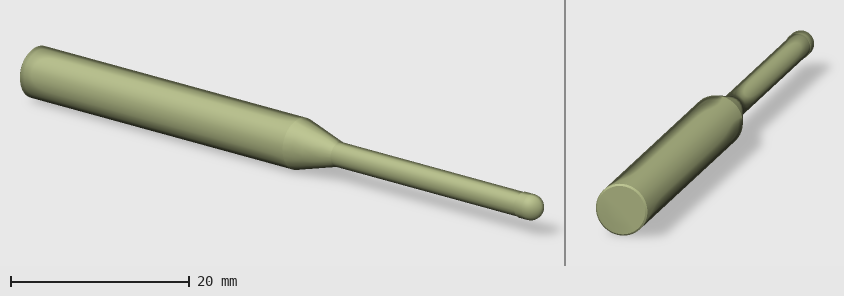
import cadquery as cq

total_length = 75.0
shank_radius = 3.0
shank_chamfer = 0.2
shank_end = 39.2
neck_start = 45.0
neck_radius = 1.4
head_start = 72.3
ball_radius = 1.5
ball_center = total_length - ball_radius
ball_mid = ball_radius * 0.5 ** 0.5

profile = (
    cq.Workplane("XY")
    .moveTo(0, 0)
    .lineTo(0, shank_radius - shank_chamfer)
    .lineTo(shank_chamfer, shank_radius)
    .lineTo(shank_end, shank_radius)
    .lineTo(neck_start, neck_radius)
    .lineTo(head_start, neck_radius)
    .lineTo(head_start, ball_radius)
    .lineTo(ball_center, ball_radius)
    .threePointArc((ball_center + ball_mid, ball_mid), (total_length, 0))
    .close()
)

result = profile.revolve(360, (0, 0, 0), (1, 0, 0))